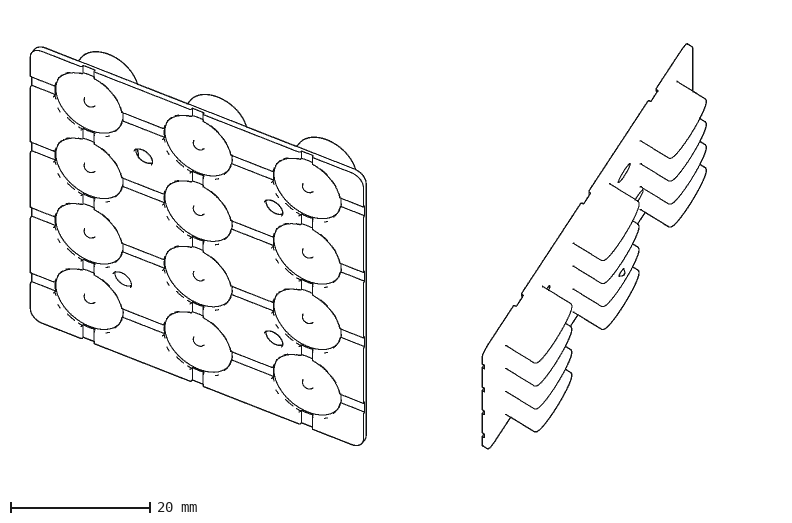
import cadquery as cq
import math

PLATE_WIDTH = 55
PLATE_HEIGHT = 54.0
PLATE_THICKNESS = 1.0
CORNER_RADIUS = 2.0
BACK_FILLET = 0.2

COLUMNS = 3
ROWS = 4
COLUMN_SPAN = 36.0
ROW_SPAN = 39.0
TOP_ROW_OFFSET = 7.0

LIP_RADIUS = 0.2

CUP_RADIUS = 5.0
CUP_END = 6.2
CUP_END_FILLET = 0.35
CUP_BASE_FILLET = 0.2

DISH_RADIUS = 5.6
DISH_WALL_DEPTH = 0.6
DISH_FLOOR_RADIUS = 3.2
DISH_DEPTH = 1.1
STUD_HEIGHT = 0.75
STUD_RADIUS = 0.95
STUD_BASE_FILLET = 0.5
STUD_END_FILLET = 0.4

GROOVE_WIDTH = 1.9
GROOVE_LIP_RADIUS = 0.2
GROOVE_DEPTH = 0.4

HOLE_RADIUS = 1.6
HOLE_PLACES = [(18.5, 13.5), (40.0, 13.5), (15.0, 39.5), (40.0, 39.5)]

NUB_HEIGHT = 0.5
NUB_BASE_RADIUS = 0.65
NUB_TIP_RADIUS = 0.2
NUB_RISE = 2.95
NUB_COLUMN = 1
NUB_ROW = 2

LEFT = -PLATE_WIDTH / 2
TOP = PLATE_HEIGHT / 2
DIAGONAL = math.sqrt(2) / 2

COLUMN_PITCH = COLUMN_SPAN / (COLUMNS - 1)
ROW_PITCH = ROW_SPAN / (ROWS - 1)
column_x = [(i - (COLUMNS - 1) / 2) * COLUMN_PITCH for i in range(COLUMNS)]
row_z = [TOP - TOP_ROW_OFFSET - i * ROW_PITCH for i in range(ROWS)]
cup_places = [(x, z) for x in column_x for z in row_z]


def revolve_profile(profile):
    """Turn a closed XY profile once around the Y axis."""
    return profile.close().revolve(360, (0, 0, 0), (0, 1, 0))


def place_at(shape, places):
    """Compound of copies of a shape moved to each (x, z) place."""
    copies = [shape.val().moved(cq.Location(cq.Vector(x, 0, z))) for x, z in places]
    return cq.Workplane(obj=cq.Compound.makeCompound(copies))


def arc_about(profile, centre, radius, middle_angle, end):
    """Extend a profile by an arc about a centre, passing middle_angle degrees."""
    angle = math.radians(middle_angle)
    middle = (centre[0] + radius * math.cos(angle), centre[1] + radius * math.sin(angle))
    return profile.threePointArc(middle, end)


def make_plate():
    plate = cq.Workplane("XY").box(
        PLATE_WIDTH, PLATE_THICKNESS, PLATE_HEIGHT, centered=(True, False, True)
    )
    plate = plate.edges("|Y").fillet(CORNER_RADIUS)
    return plate.faces(">Y").edges().fillet(BACK_FILLET)


def make_cup():
    base_radius = CUP_RADIUS + CUP_BASE_FILLET
    base_end = PLATE_THICKNESS + CUP_BASE_FILLET
    profile = (
        cq.Workplane("XY")
        .moveTo(0, PLATE_THICKNESS / 2)
        .lineTo(base_radius, PLATE_THICKNESS / 2)
        .lineTo(base_radius, PLATE_THICKNESS)
    )
    profile = arc_about(profile, (base_radius, base_end), CUP_BASE_FILLET, 225, (CUP_RADIUS, base_end))
    profile = profile.lineTo(CUP_RADIUS, CUP_END).lineTo(0, CUP_END)
    return revolve_profile(profile).faces(">Y").edges().fillet(CUP_END_FILLET)


def start_round_recess(radius):
    """Begin a round cutter profile whose lip flares out into the front face."""
    lip_x = radius + LIP_RADIUS
    profile = cq.Workplane("XY").lineTo(lip_x, 0)
    return arc_about(profile, (lip_x, LIP_RADIUS), LIP_RADIUS, 225, (radius, LIP_RADIUS))


def make_dish():
    profile = (
        start_round_recess(DISH_RADIUS)
        .lineTo(DISH_RADIUS, DISH_WALL_DEPTH)
        .lineTo(DISH_FLOOR_RADIUS, DISH_DEPTH)
        .lineTo(0, DISH_DEPTH)
    )
    return revolve_profile(profile)


def make_stud():
    base_radius = STUD_RADIUS + STUD_BASE_FILLET
    base_y = DISH_DEPTH - STUD_BASE_FILLET
    end_y = DISH_DEPTH - STUD_HEIGHT
    root_y = DISH_DEPTH + STUD_BASE_FILLET
    profile = (
        cq.Workplane("XY")
        .moveTo(0, root_y)
        .lineTo(base_radius, root_y)
        .lineTo(base_radius, DISH_DEPTH)
    )
    profile = arc_about(profile, (base_radius, base_y), STUD_BASE_FILLET, 135, (STUD_RADIUS, base_y))
    profile = profile.lineTo(STUD_RADIUS, end_y).lineTo(0, end_y)
    return revolve_profile(profile).faces("<Y").edges().fillet(STUD_END_FILLET)


def make_groove(length):
    """Cutter for a groove along Z on the front face, with rounded lips."""
    half = GROOVE_WIDTH / 2
    lip_x = half + GROOVE_LIP_RADIUS
    offset = GROOVE_LIP_RADIUS * DIAGONAL
    return (
        cq.Workplane("XY")
        .moveTo(-lip_x, 0)
        .threePointArc((-lip_x + offset, GROOVE_LIP_RADIUS - offset), (-half, GROOVE_LIP_RADIUS))
        .lineTo(-half, GROOVE_DEPTH)
        .lineTo(half, GROOVE_DEPTH)
        .lineTo(half, GROOVE_LIP_RADIUS)
        .threePointArc((lip_x - offset, GROOVE_LIP_RADIUS - offset), (lip_x, 0))
        .close()
        .extrude(length / 2, both=True)
    )


def make_hole():
    profile = (
        start_round_recess(HOLE_RADIUS)
        .lineTo(HOLE_RADIUS, PLATE_THICKNESS)
        .lineTo(0, PLATE_THICKNESS)
    )
    return revolve_profile(profile)


def make_nub():
    profile = (
        cq.Workplane("XY")
        .moveTo(0, CUP_END - NUB_HEIGHT)
        .lineTo(NUB_BASE_RADIUS, CUP_END - NUB_HEIGHT)
        .lineTo(NUB_BASE_RADIUS, CUP_END)
        .lineTo(NUB_TIP_RADIUS, CUP_END + NUB_HEIGHT)
        .lineTo(0, CUP_END + NUB_HEIGHT)
    )
    return revolve_profile(profile)


body = make_plate().union(place_at(make_cup(), cup_places))

upright_groove = make_groove(PLATE_HEIGHT)
level_groove = make_groove(PLATE_WIDTH).rotate((0, 0, 0), (0, 1, 0), 90)
for x in column_x:
    body = body.cut(upright_groove.translate((x, 0, 0)))
for z in row_z:
    body = body.cut(level_groove.translate((0, 0, z)))

hole_places = [(LEFT + from_left, TOP - from_top) for from_left, from_top in HOLE_PLACES]
body = body.cut(place_at(make_dish(), cup_places))
body = body.cut(place_at(make_hole(), hole_places))
body = body.union(place_at(make_stud(), cup_places))

nub_place = (column_x[NUB_COLUMN], row_z[NUB_ROW] + NUB_RISE)
result = body.union(place_at(make_nub(), [nub_place]))